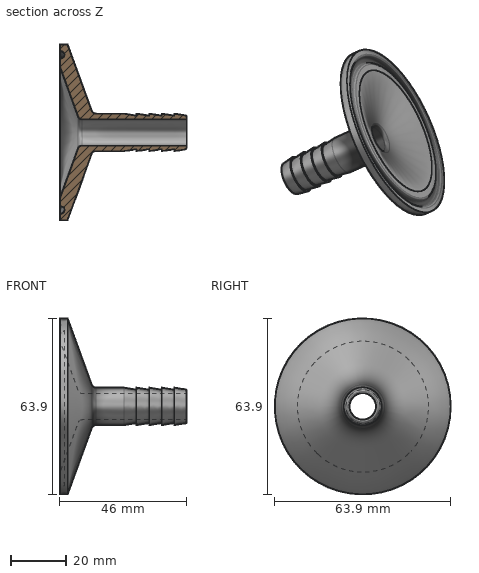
import cadquery as cq
import math

length = 46.0

flange_radius = 31.95
flange_thickness = 2.8
mouth_radius = 23.8
cone_slope = math.tan(math.radians(70.0))
cone_blend = 1.55

groove_radius = 28.2
groove_width = 3.95
groove_wall_angle = math.radians(68.0)
groove_lip_rounding = 0.75
groove_bottom_rounding = 1.2

tube_radius = 13.75 / 2
bore_radius = 9.5 / 2

barb_count = 5
barb_start = 23.2
barb_pitch = (length - barb_start) / barb_count
barb_root_radius = 6.15
tip_rounding = 0.7


def groove_corners():
    """V-shaped groove, from its inner lip to its outer lip."""
    lip_run = groove_lip_rounding * math.tan(groove_wall_angle / 2)
    half_opening = groove_width / 2 - lip_run
    bottom_x = half_opening * math.tan(groove_wall_angle)
    return [
        (0, groove_radius - half_opening, groove_lip_rounding),
        (bottom_x, groove_radius, groove_bottom_rounding),
        (0, groove_radius + half_opening, groove_lip_rounding),
    ]


def flange_corners():
    """Flange rim and the outer cone down to the tube."""
    cone_end = flange_thickness + (flange_radius - tube_radius) / cone_slope
    return [
        (0, flange_radius, 0),
        (flange_thickness, flange_radius, 0),
        (cone_end, tube_radius, cone_blend),
    ]


def barb_corners():
    """Barbs that taper toward the tip, each followed by a step back up to the tube size."""
    corners = [(barb_start, tube_radius, 0)]
    for i in range(1, barb_count):
        step_x = barb_start + i * barb_pitch
        corners.append((step_x, barb_root_radius, 0))
        corners.append((step_x, tube_radius, 0))
    corners.append((length, barb_root_radius, tip_rounding))
    return corners


def bore_corners():
    """Straight bore from the tip to the inner cone, which opens at the sealing face."""
    cone_end = (mouth_radius - bore_radius) / cone_slope
    return [
        (length, bore_radius, 0),
        (cone_end, bore_radius, cone_blend),
        (0, mouth_radius, 0),
    ]


def rounding_ends(before, corner, after, radius):
    """Points where a rounding of the given radius touches the two sides of a corner."""
    point = cq.Vector(*corner)
    to_before = (cq.Vector(*before) - point).normalized()
    to_after = (cq.Vector(*after) - point).normalized()
    run = radius / math.tan(to_before.getAngle(to_after) / 2)
    return point + to_before * run, point + to_after * run


def closed_outline(corners):
    """Closed outline through (x, radial, rounding) corners; the last corner must be sharp."""
    outline = cq.Workplane("XY").moveTo(*corners[-1][:2])
    for i, (x, y, rounding) in enumerate(corners[:-1]):
        if rounding == 0:
            outline = outline.lineTo(x, y)
            continue
        start, end = rounding_ends(corners[i - 1][:2], (x, y), corners[i + 1][:2], rounding)
        outline = outline.lineTo(start.x, start.y)
        outline = outline.tangentArcPoint((end.x, end.y), relative=False)
    return outline.close()


corners = groove_corners() + flange_corners() + barb_corners() + bore_corners()
result = closed_outline(corners).revolve(360, (0, 0, 0), (1, 0, 0))